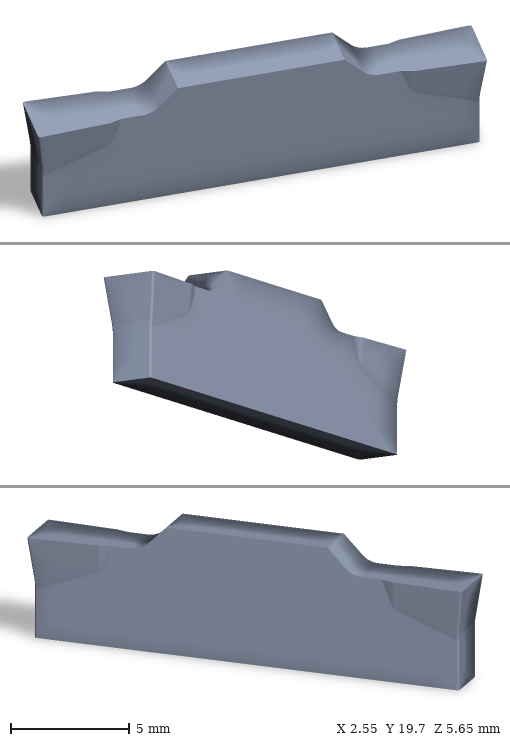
import cadquery as cq
import math


insert_length = 19.68
cutting_width = 2.558
insert_height = 5.65

shank_width = 1.95
rake_height = 4.525
hump_top_length = 7.3
hump_slope_angle = 45.0
hump_root_radius = 1.0

end_relief_angle = 7.0
end_relief_depth = 2.0

side_relief_angle = 7.1
back_taper_angle = 2.7
head_length = 3.2
runout_length = 0.53
knee_radius = 0.25
corner_radius = 0.09

position_tolerance = 1e-6
mostly_along = 0.9

half_length = insert_length / 2
half_cut = cutting_width / 2
half_shank = shank_width / 2
shank_half_length = half_length - end_relief_depth * math.tan(math.radians(end_relief_angle))


def side_profile(width):
    """Long-side outline of the insert, extruded across X to the given width."""
    hump_half = hump_top_length / 2
    slope_angle = math.radians(hump_slope_angle)
    slope_run = (insert_height - rake_height) / math.tan(slope_angle)
    root = hump_half + slope_run
    tangent = hump_root_radius * math.tan(slope_angle / 2)
    root_start = root + tangent
    root_end = (root - tangent * math.cos(slope_angle), rake_height + tangent * math.sin(slope_angle))
    relief_bottom = rake_height - end_relief_depth
    half_outline = (
        cq.Workplane("YZ")
        .moveTo(0, 0)
        .lineTo(shank_half_length, 0)
        .lineTo(shank_half_length, relief_bottom)
        .lineTo(half_length, rake_height)
        .lineTo(root_start, rake_height)
        .radiusArc(root_end, hump_root_radius)
        .lineTo(hump_half, insert_height)
        .lineTo(0, insert_height)
        .close()
    )
    half = half_outline.extrude(width / 2, both=True)
    return half.union(half.mirror("XZ"))


def flank():
    """Flared +X side of the +Y head: a plan outline swept down and inwards along the side relief."""
    knee_x = half_cut - head_length * math.tan(math.radians(back_taper_angle))
    knee_y = half_length - head_length
    runout_y = knee_y - runout_length
    outline = cq.Wire.makePolygon(
        [
            cq.Vector(0, half_length, rake_height),
            cq.Vector(half_cut, half_length, rake_height),
            cq.Vector(knee_x, knee_y, rake_height),
            cq.Vector(half_shank, runout_y, rake_height),
            cq.Vector(0, runout_y, rake_height),
        ],
        close=True,
    )
    knee = [v for v in outline.Vertices() if math.hypot(v.X - knee_x, v.Y - knee_y) < position_tolerance]
    outline = outline.fillet2D(knee_radius, knee)
    side_slope = math.tan(math.radians(side_relief_angle))
    depth = (half_cut - half_shank) / side_slope
    sweep = cq.Vector(-depth * side_slope, 0, -depth)
    return cq.Workplane(cq.Solid.extrudeLinear(outline, [], sweep))


def build_insert():
    """Shank with both flared heads, trimmed to the long-side outline."""
    quarter = flank()
    head = quarter.union(quarter.mirror("YZ"))
    heads = head.union(head.mirror("XZ"))
    heads = heads.intersect(side_profile(cutting_width))
    return side_profile(shank_width).union(heads)


def is_end_face(face):
    """True for the end faces of the shank and the relief faces above them."""
    beyond_shank = abs(face.Center().y) > shank_half_length - position_tolerance
    return beyond_shank and abs(face.normalAt().y) > mostly_along


def is_upright(edge):
    """True for edges that run mainly along Z."""
    return abs(edge.tangentAt(0).z) > mostly_along


def round_end_corners(body):
    """Round the upright corner edges that bound the end faces."""
    end_faces = [face for face in body.faces().vals() if is_end_face(face)]
    corners = [edge for face in end_faces for edge in face.Edges() if is_upright(edge)]
    return body.newObject(corners).fillet(corner_radius)


result = round_end_corners(build_insert())